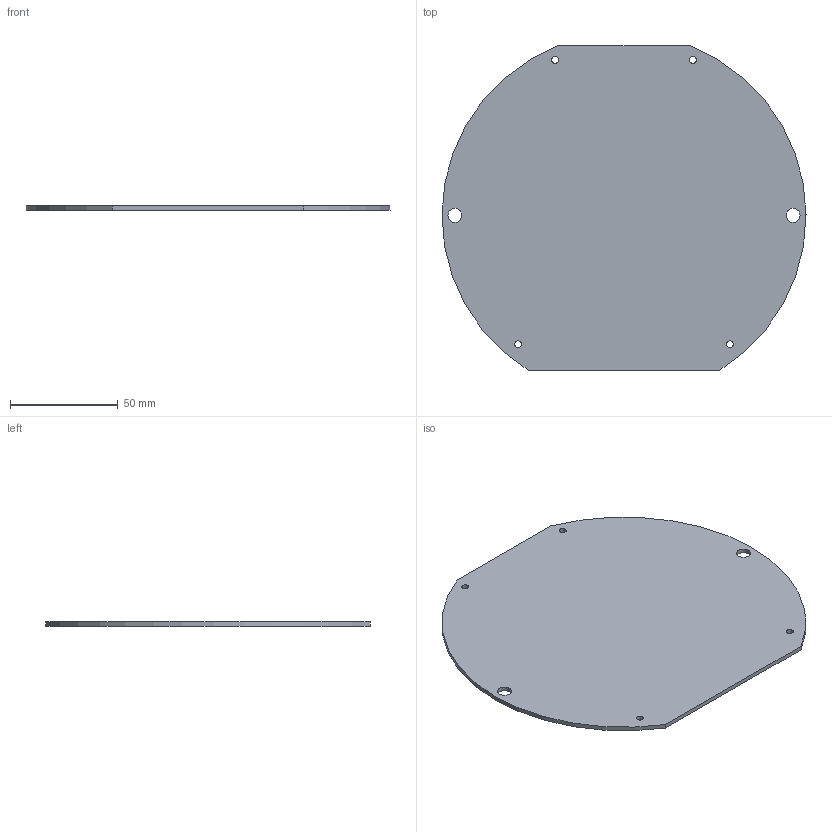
import cadquery as cq

disc_diameter = 169.0
thickness = 2.0
depth = 150.57
front_flat_y = -71.83
back_flat_y = front_flat_y + depth

side_hole_diameter = 6.5
side_hole_x = 78.5

screw_hole_diameter = 3.2
back_screw_x = 32.0
back_screw_y = 72.2
front_screw_x = 49.2
front_screw_y = -59.8


def make_plate():
    """Round plate cut straight by a front flat and a back flat."""
    disc = cq.Workplane("XY").circle(disc_diameter / 2).extrude(thickness)
    band = (
        cq.Workplane("XY")
        .center(0, (front_flat_y + back_flat_y) / 2)
        .rect(disc_diameter, depth)
        .extrude(thickness)
    )
    return disc.intersect(band)


def make_hole_pair(x, y, diameter):
    """Two through-hole cutters mirrored about the YZ plane."""
    return (
        cq.Workplane("XY")
        .pushPoints([(-x, y), (x, y)])
        .circle(diameter / 2)
        .extrude(thickness)
    )


hole_pairs = [
    (side_hole_x, 0.0, side_hole_diameter),
    (back_screw_x, back_screw_y, screw_hole_diameter),
    (front_screw_x, front_screw_y, screw_hole_diameter),
]

result = make_plate()
for pair_x, pair_y, pair_diameter in hole_pairs:
    result = result.cut(make_hole_pair(pair_x, pair_y, pair_diameter))